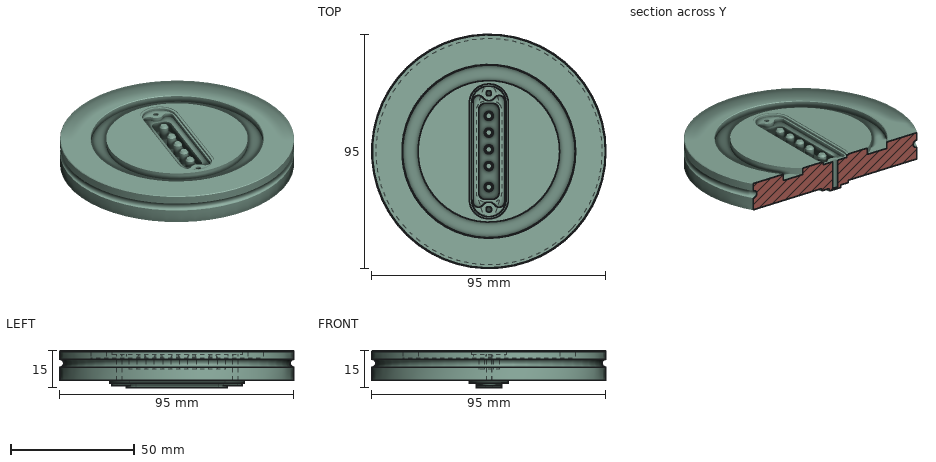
import cadquery as cq
import math

disc_diameter = 95.0
disc_height = 12.0
rim_chamfer = 0.25

groove_radius = 1.6
groove_depth_below_top = 5.0

channel_outer_diameter = 70.0
channel_inner_diameter = 57.4
channel_depth = 2.85
channel_edge_chamfer = 0.25

flange_width = 15.9
flange_length = 54.7
flange_drop = 1.05
flange_recess = 0.3

ledge_width = 14.1
ledge_length = 53.0
ledge_depth = 1.3
wave_width = 12.8
wave_depth = 2.95
wave_lobe_radius = 2.2
pocket_width = 8.3
pocket_length = 39.0
pocket_corner_radius = 2.7
pocket_depth = 7.2

screw_spacing = 47.1
far_screw_diameter = 2.16
near_screw_diameter = 2.26
screw_relief_radius = 3.0
screw_boss_radius = 2.9
screw_boss_drop = 2.2
boss_floor = 1.0
boss_root_half_width = 4.8
boss_root_y = 18.0

keel_wall = 1.0
keel_drop = 2.96

pin_diameter = 3.61
pin_top_depth = 1.6
pin_edge_length = 0.8
pin_edge_width = 0.55
pin_pitch = 6.8
pin_last_gap = 8.5
first_pin_y = 14.4
evenly_spaced_pin_count = 4

disc_radius = disc_diameter / 2
screw_y = screw_spacing / 2
keel_width = pocket_width + 2 * keel_wall
keel_length = pocket_length + 2 * keel_wall
keel_corner_radius = pocket_corner_radius + keel_wall
evenly_spaced_pins = [first_pin_y - i * pin_pitch for i in range(evenly_spaced_pin_count)]
pin_positions = evenly_spaced_pins + [evenly_spaced_pins[-1] - pin_last_gap]


def plane_at(z):
    return cq.Workplane("XY").workplane(offset=z)


def stadium(width, length, top, height):
    """Round-ended bar along Y, reaching down from the given top level."""
    return plane_at(top).slot2D(length, width, 90).extrude(-height)


def rounded_bar(width, length, radius, top, height):
    """Rectangular bar along Y with rounded vertical corners."""
    return plane_at(top).rect(width, length).extrude(-height).edges("|Z").fillet(radius)


def make_disc():
    disc = plane_at(-disc_height).circle(disc_radius).extrude(disc_height)
    disc = disc.faces(">Z").edges().chamfer(rim_chamfer)
    groove = cq.Workplane("XZ").center(disc_radius, -groove_depth_below_top).circle(groove_radius)
    groove = groove.revolve(360, (-disc_radius, 0), (-disc_radius, 1))
    return disc.cut(groove)


def make_channel():
    outer = plane_at(0).circle(channel_outer_diameter / 2).extrude(-channel_depth)
    flare = plane_at(0).circle(channel_outer_diameter / 2 + channel_edge_chamfer)
    flare = flare.workplane(offset=-channel_edge_chamfer).circle(channel_outer_diameter / 2).loft()
    plateau = plane_at(0).circle(channel_inner_diameter / 2).extrude(-channel_depth)
    return outer.union(flare).cut(plateau)


def make_wave_recess():
    """Recess whose ends curve inward around the screw holes, between two rounded lobes."""
    half_width = wave_width / 2
    lobe_x = half_width - wave_lobe_radius
    reach = screw_relief_radius + wave_lobe_radius
    lobe_y = screw_y - math.sqrt(reach**2 - lobe_x**2)
    blend_x = lobe_x * screw_relief_radius / reach
    blend_y = screw_y + (lobe_y - screw_y) * screw_relief_radius / reach
    lobe_top = lobe_y + wave_lobe_radius
    dip_y = screw_y - screw_relief_radius
    outline = (
        plane_at(0)
        .moveTo(half_width, -lobe_y)
        .lineTo(half_width, lobe_y)
        .threePointArc((lobe_x, lobe_top), (blend_x, blend_y))
        .threePointArc((0, dip_y), (-blend_x, blend_y))
        .threePointArc((-lobe_x, lobe_top), (-half_width, lobe_y))
        .lineTo(-half_width, -lobe_y)
        .threePointArc((-lobe_x, -lobe_top), (-blend_x, -blend_y))
        .threePointArc((0, -dip_y), (blend_x, -blend_y))
        .threePointArc((lobe_x, -lobe_top), (half_width, -lobe_y))
        .close()
    )
    return outline.extrude(-wave_depth)


def make_screw_boss(side):
    """Tapered round-nosed boss under the disc; side is +1 for the +Y end, -1 for the -Y end."""
    root_dx = boss_root_half_width
    root_dy = boss_root_y - screw_y
    root_distance = math.hypot(root_dx, root_dy)
    tangent_angle = math.atan2(root_dy, root_dx) + math.acos(screw_boss_radius / root_distance)
    tangent_x = screw_boss_radius * math.cos(tangent_angle)
    tangent_y = screw_y + screw_boss_radius * math.sin(tangent_angle)
    outline = (
        plane_at(-disc_height)
        .moveTo(boss_root_half_width, side * boss_root_y)
        .lineTo(tangent_x, side * tangent_y)
        .threePointArc((0, side * (screw_y + screw_boss_radius)), (-tangent_x, side * tangent_y))
        .lineTo(-boss_root_half_width, side * boss_root_y)
        .close()
    )
    return outline.extrude(-screw_boss_drop)


def make_screw_hole(y, diameter):
    depth = disc_height + screw_boss_drop - boss_floor
    return plane_at(0).center(0, y).circle(diameter / 2).extrude(-depth)


def make_pin(y):
    pin = plane_at(-pocket_depth).center(0, y).circle(pin_diameter / 2)
    pin = pin.extrude(pocket_depth - pin_top_depth)
    return pin.faces(">Z").edges().chamfer(pin_edge_length, pin_edge_width)


body = make_disc().cut(make_channel())

body = body.union(stadium(flange_width, flange_length, -disc_height, flange_drop))
body = body.union(rounded_bar(keel_width, keel_length, keel_corner_radius, -disc_height, keel_drop))
for side in (1, -1):
    body = body.union(make_screw_boss(side))

body = body.cut(stadium(flange_width, flange_length, 0, flange_recess))
body = body.cut(stadium(ledge_width, ledge_length, 0, ledge_depth))
body = body.cut(make_wave_recess())
body = body.cut(rounded_bar(pocket_width, pocket_length, pocket_corner_radius, 0, pocket_depth))
body = body.cut(make_screw_hole(screw_y, far_screw_diameter))
body = body.cut(make_screw_hole(-screw_y, near_screw_diameter))
for pin_y in pin_positions:
    body = body.union(make_pin(pin_y))

result = body